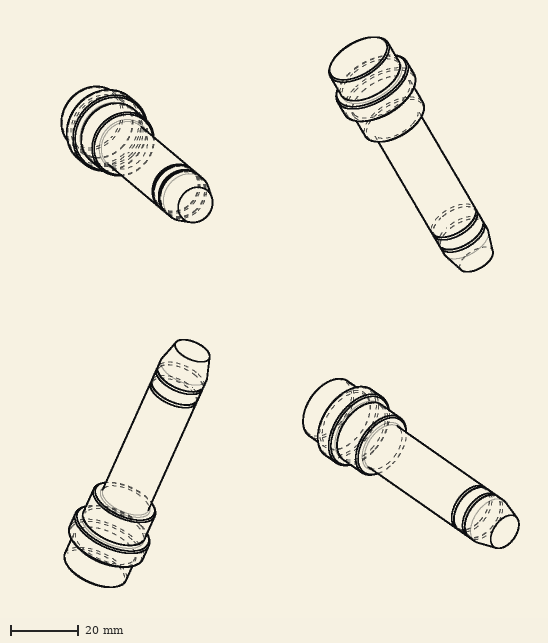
import cadquery as cq
import math

length = 81.0
flange_start = 9.0
flange_end = 15.0
collar_end = 25.0
shaft_groove_centers = (65.85, 70.8)
nose_start = 73.9

body_diameter = 20.0
flange_diameter = 24.0
shaft_diameter = 15.0

edge_chamfer = 0.5
shaft_fillet = 0.5
groove_width = 1.0
groove_depth = 0.4
nose_angle = math.radians(15)

body_radius = body_diameter / 2
flange_radius = flange_diameter / 2
shaft_radius = shaft_diameter / 2


def chamfered_disc(start, end, radius):
    """Disc about the X axis with both rims chamfered."""
    disc = cq.Workplane("YZ").workplane(offset=start).circle(radius).extrude(end - start)
    return disc.edges().chamfer(edge_chamfer)


def round_groove(center, radius):
    """Ring cutter for an arc-bottomed groove in a cylinder of the given radius."""
    clearance_radius = radius + groove_depth
    half_width = groove_width / 2
    return (
        cq.Workplane("XY")
        .moveTo(center - half_width, clearance_radius)
        .lineTo(center - half_width, radius)
        .threePointArc((center, radius - groove_depth), (center + half_width, radius))
        .lineTo(center + half_width, clearance_radius)
        .close()
        .revolve(360, (0, 0, 0), (1, 0, 0))
    )


def shaft():
    """Shaft with a fillet flare at the collar and a conical nose."""
    tip_radius = shaft_radius - (length - nose_start) * math.tan(nose_angle)
    arc_inset = shaft_fillet * (1 - math.sqrt(0.5))
    return (
        cq.Workplane("XY")
        .moveTo(flange_end, 0)
        .lineTo(flange_end, shaft_radius + shaft_fillet)
        .lineTo(collar_end, shaft_radius + shaft_fillet)
        .threePointArc(
            (collar_end + arc_inset, shaft_radius + arc_inset),
            (collar_end + shaft_fillet, shaft_radius),
        )
        .lineTo(nose_start, shaft_radius)
        .lineTo(length, tip_radius)
        .lineTo(length, 0)
        .close()
        .revolve(360, (0, 0, 0), (1, 0, 0))
    )


body = chamfered_disc(0, collar_end, body_radius)
for relief_center in (flange_start - groove_width / 2, flange_end + groove_width / 2):
    body = body.cut(round_groove(relief_center, body_radius))

flange = chamfered_disc(flange_start, flange_end, flange_radius)

result = body.union(flange).union(shaft())
for groove_center in shaft_groove_centers:
    result = result.cut(round_groove(groove_center, shaft_radius))